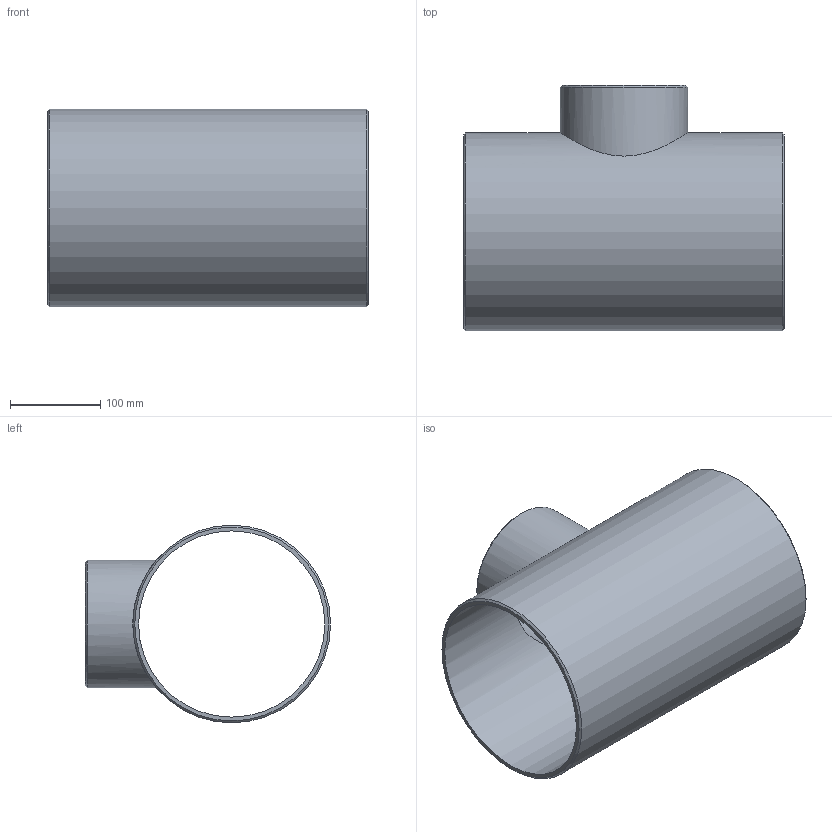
import cadquery as cq

run_length = 355.6
run_outer_diameter = 219.075
run_wall = 6.35
branch_outer_diameter = 141.22
branch_wall = 6.2
branch_reach = 162.05

bevel = run_wall / 3


def run_cylinder(diameter):
    """Cylinder along X over the full run length, centred on the origin."""
    return cq.Workplane("YZ").circle(diameter / 2).extrude(run_length / 2, both=True)


def branch_cylinder(diameter):
    """Cylinder along +Y from the run axis to the branch end face."""
    return cq.Workplane("XZ").circle(diameter / 2).extrude(-branch_reach)


def tee_body():
    """Solid tee with the outer rims of its three ends bevelled."""
    run = run_cylinder(run_outer_diameter).faces("<X or >X").chamfer(bevel)
    branch = branch_cylinder(branch_outer_diameter).faces(">Y").chamfer(bevel)
    return run.union(branch)


def tee_bores():
    """Space inside both pipes, joined where the branch opens into the run."""
    run_bore = run_cylinder(run_outer_diameter - 2 * run_wall)
    branch_bore = branch_cylinder(branch_outer_diameter - 2 * branch_wall)
    return run_bore.union(branch_bore)


result = tee_body().cut(tee_bores())